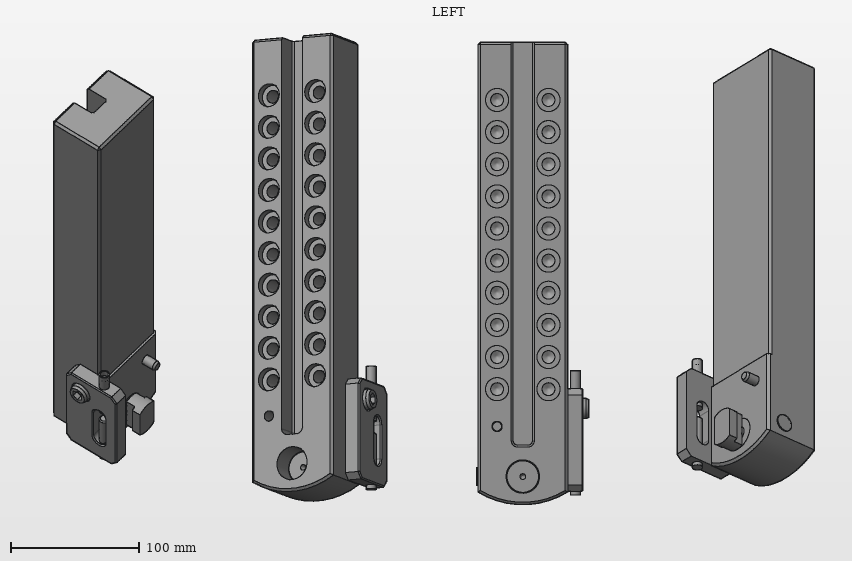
import cadquery as cq
import math


BAR_WIDTH = 70
BAR_LENGTH = 360
BAR_THICKNESS = 49
RELIEF_DEPTH = 2
RELIEF_START_Z = 80
ROUND_END_RISE = 10
BAR_CHAMFER = 2
GROOVE_WIDTH = 18
GROOVE_DEPTH = 20
GROOVE_END_Z = 45
GROOVE_CORNER_RADIUS = 5
GROOVE_FLOOR_CHAMFER = 1.5

COLUMN_OFFSET_Y = 20
HOLE_COUNT = 10
HOLE_PITCH = 25
FIRST_HOLE_Z = 90
COUNTERBORE_DIAMETER = 18
COUNTERBORE_DEPTH = 7
HOLE_DIAMETER = 10
HOLE_DEPTH = 25
DRILL_POINT_ANGLE = 118

PIVOT_Z = 22
PIVOT_SHAFT_DIAMETER = 26
PIVOT_SHAFT_START_X = 20
PIVOT_SHAFT_CHAMFER = 0.7
PIVOT_CENTRE_DIAMETER = 4.5
PIVOT_CENTRE_ANGLE = 60
PIVOT_NECK_DIAMETER = 12
KEY_DIAMETER = 30
KEY_START_X = 51
KEY_HEAD_START_X = 59
KEY_END_X = 66.5
KEY_STEM_WIDTH = 12
KEY_HEAD_WIDTH = 18

PLUG_X = 33
PLUG_DIAMETER = 14
PLUG_PROJECTION = 1

LOCATING_PIN_Z = 61
LOCATING_PIN_DIAMETER = 8
LOCATING_PIN_START_X = 20
LOCATING_PIN_END_X = 61
LOCATING_PIN_CHAMFER_LENGTH = 2
LOCATING_PIN_CHAMFER_WIDTH = 1
LOCATING_PIN_INNER_CHAMFER = 0.5

PLATE_START_X = 23
PLATE_START_Z = 10.5
PLATE_WIDTH = 50
PLATE_HEIGHT = 80
PLATE_THICKNESS = 12
PLATE_CORNER_CHAMFER = 5
PLATE_EDGE_CHAMFER = 1
SLOT_X = 56
SLOT_Z = 45.5
SLOT_WIDTH = 12
SLOT_LENGTH = 39
SLOT_CHAMFER = 1

SCREW_X = 38
SCREW_Z = 75
SCREW_COUNTERBORE_DIAMETER = 18
SCREW_SEAT_DEPTH = 6
SCREW_HEAD_DIAMETER = 16
SCREW_HEAD_PROJECTION = 4.5
SCREW_CHAMFER_LENGTH = 2.3
SCREW_CHAMFER_WIDTH = 1
SCREW_SHANK_DIAMETER = 10
SCREW_REACH = 15
SCREW_SOCKET_WIDTH = 8
SCREW_SOCKET_DEPTH = 5

STOP_X = 56.5
STOP_DIAMETER = 8
STOP_SCREW_TOP_Z = 104.5
STOP_SCREW_BOTTOM_Z = 61.5
STOP_SOCKET_DIAMETER = 6
STOP_SOCKET_DEPTH = 5
STOP_PIN_TOP_Z = 52
STOP_PIN_BOTTOM_Z = 7.5
STOP_PIN_CHAMFER = 1

HALF_WIDTH = BAR_WIDTH / 2
PLATE_MIDDLE_Y = -HALF_WIDTH - PLATE_THICKNESS / 2
PLATE_OUTER_Y = -HALF_WIDTH - PLATE_THICKNESS


def rod_x(diameter, start_x, end_x, y, z):
    plane = cq.Workplane("YZ", origin=(start_x, y, z))
    return plane.circle(diameter / 2).extrude(end_x - start_x)


def rod_y(diameter, start_y, end_y, x, z):
    plane = cq.Workplane("XZ", origin=(x, start_y, z))
    return plane.circle(diameter / 2).extrude(start_y - end_y)


def rod_z(diameter, start_z, end_z, x, y):
    plane = cq.Workplane("XY", origin=(x, y, start_z))
    return plane.circle(diameter / 2).extrude(end_z - start_z)


def point_length(diameter, angle):
    return diameter / 2 / math.tan(math.radians(angle / 2))


def make_point(diameter, angle, base, direction):
    """A cone that starts at its base circle and narrows to a point along the direction."""
    length = point_length(diameter, angle)
    return cq.Workplane(cq.Solid.makeCone(diameter / 2, 0, length, cq.Vector(base), cq.Vector(direction)))


def make_groove():
    """Open at the top of the bar; the floor chamfer follows the side walls and the rounded lower end."""
    return (
        cq.Workplane("XY", origin=(0, 0, GROOVE_END_Z))
        .box(GROOVE_DEPTH, GROOVE_WIDTH, BAR_LENGTH - GROOVE_END_Z, centered=(False, True, False))
        .edges("|X and <Z")
        .fillet(GROOVE_CORNER_RADIUS)
        .faces(">X")
        .edges("not >Z")
        .chamfer(GROOVE_FLOOR_CHAMFER)
    )


def make_counterbored_hole():
    radius = HOLE_DIAMETER / 2
    tip_x = HOLE_DEPTH + point_length(HOLE_DIAMETER, DRILL_POINT_ANGLE)
    return (
        cq.Workplane("XY")
        .moveTo(0, 0)
        .lineTo(0, COUNTERBORE_DIAMETER / 2)
        .lineTo(COUNTERBORE_DEPTH, COUNTERBORE_DIAMETER / 2)
        .lineTo(COUNTERBORE_DEPTH, radius)
        .lineTo(HOLE_DEPTH, radius)
        .lineTo(tip_x, 0)
        .close()
        .revolve(360, (0, 0, 0), (1, 0, 0))
    )


def make_bar_blank(thickness):
    return (
        cq.Workplane("YZ")
        .moveTo(-HALF_WIDTH, BAR_LENGTH)
        .lineTo(-HALF_WIDTH, ROUND_END_RISE)
        .threePointArc((0, 0), (HALF_WIDTH, ROUND_END_RISE))
        .lineTo(HALF_WIDTH, BAR_LENGTH)
        .close()
        .extrude(thickness)
        .edges("<X or >X or (>Z and |X)")
        .chamfer(BAR_CHAMFER)
    )


def make_bar():
    lower_end = cq.Workplane("XY").box(
        BAR_THICKNESS, BAR_WIDTH, RELIEF_START_Z, centered=(False, True, False)
    )
    bar = make_bar_blank(BAR_THICKNESS).intersect(lower_end)
    bar = bar.union(make_bar_blank(BAR_THICKNESS - RELIEF_DEPTH))
    bar = bar.cut(make_groove())
    hole = make_counterbored_hole()
    for side in (-1, 1):
        for index in range(HOLE_COUNT):
            place = (0, side * COLUMN_OFFSET_Y, FIRST_HOLE_Z + index * HOLE_PITCH)
            bar = bar.cut(hole.translate(place))
    bar = bar.cut(rod_x(PIVOT_SHAFT_DIAMETER, 0, BAR_THICKNESS, 0, PIVOT_Z))
    bar = bar.cut(rod_x(LOCATING_PIN_DIAMETER, 0, BAR_THICKNESS, COLUMN_OFFSET_Y, LOCATING_PIN_Z))
    return bar.cut(make_plug()).cut(make_screw())


def make_key(width, start_x, end_x):
    flats = cq.Workplane("XY", origin=(start_x, 0, PIVOT_Z)).box(
        end_x - start_x, width, KEY_DIAMETER, centered=(False, True, True)
    )
    return rod_x(KEY_DIAMETER, start_x, end_x, 0, PIVOT_Z).intersect(flats)


def make_pivot():
    shaft = rod_x(PIVOT_SHAFT_DIAMETER, PIVOT_SHAFT_START_X, BAR_THICKNESS, 0, PIVOT_Z)
    shaft = shaft.faces("<X").chamfer(PIVOT_SHAFT_CHAMFER)
    neck = rod_x(PIVOT_NECK_DIAMETER, BAR_THICKNESS, KEY_START_X, 0, PIVOT_Z)
    stem = make_key(KEY_STEM_WIDTH, KEY_START_X, KEY_HEAD_START_X)
    head = make_key(KEY_HEAD_WIDTH, KEY_HEAD_START_X, KEY_END_X)
    centre_base = (PIVOT_SHAFT_START_X, 0, PIVOT_Z)
    centre = make_point(PIVOT_CENTRE_DIAMETER, PIVOT_CENTRE_ANGLE, centre_base, (1, 0, 0))
    return shaft.union(neck).union(stem).union(head).cut(centre)


def make_plug():
    """The plug reaches inwards to the tangent plane of the pivot shaft."""
    return rod_y(PLUG_DIAMETER, PIVOT_SHAFT_DIAMETER / 2, HALF_WIDTH + PLUG_PROJECTION, PLUG_X, PIVOT_Z)


def make_locating_pin():
    pin = rod_x(
        LOCATING_PIN_DIAMETER, LOCATING_PIN_START_X, LOCATING_PIN_END_X, COLUMN_OFFSET_Y, LOCATING_PIN_Z
    )
    pin = pin.faces(">X").chamfer(LOCATING_PIN_CHAMFER_LENGTH, LOCATING_PIN_CHAMFER_WIDTH)
    return pin.faces("<X").chamfer(LOCATING_PIN_INNER_CHAMFER)


def make_plate():
    plate = (
        cq.Workplane("XY", origin=(PLATE_START_X, PLATE_OUTER_Y, PLATE_START_Z))
        .box(PLATE_WIDTH, PLATE_THICKNESS, PLATE_HEIGHT, centered=False)
        .edges("|Y")
        .chamfer(PLATE_CORNER_CHAMFER)
        .faces("<Y")
        .chamfer(PLATE_EDGE_CHAMFER)
    )
    slot = (
        cq.Workplane("XZ", origin=(SLOT_X, -HALF_WIDTH, SLOT_Z))
        .slot2D(SLOT_LENGTH, SLOT_WIDTH, 90)
        .extrude(PLATE_THICKNESS)
    )
    plate = plate.cut(slot)
    slot_mouth = (
        cq.Workplane("XZ", origin=(SLOT_X, PLATE_OUTER_Y, SLOT_Z))
        .slot2D(SLOT_LENGTH + 2 * SLOT_CHAMFER, SLOT_WIDTH + 2 * SLOT_CHAMFER, 90)
        .extrude(-SLOT_CHAMFER, taper=45)
    )
    plate = plate.cut(slot_mouth)
    stop_bore = rod_z(
        STOP_DIAMETER, PLATE_START_Z, PLATE_START_Z + PLATE_HEIGHT, STOP_X, PLATE_MIDDLE_Y
    )
    counterbore = rod_y(
        SCREW_COUNTERBORE_DIAMETER, PLATE_OUTER_Y, PLATE_OUTER_Y + SCREW_SEAT_DEPTH, SCREW_X, SCREW_Z
    )
    return plate.cut(stop_bore).cut(counterbore).cut(make_screw())


def make_screw():
    seat_y = PLATE_OUTER_Y + SCREW_SEAT_DEPTH
    top_y = PLATE_OUTER_Y - SCREW_HEAD_PROJECTION
    shank = rod_y(SCREW_SHANK_DIAMETER, seat_y, SCREW_REACH - HALF_WIDTH, SCREW_X, SCREW_Z)
    head = (
        rod_y(SCREW_HEAD_DIAMETER, seat_y, top_y, SCREW_X, SCREW_Z)
        .faces("<Y")
        .chamfer(SCREW_CHAMFER_LENGTH, SCREW_CHAMFER_WIDTH)
    )
    socket = (
        cq.Workplane("XZ", origin=(SCREW_X, top_y, SCREW_Z))
        .polygon(6, SCREW_SOCKET_WIDTH, circumscribed=True)
        .extrude(-SCREW_SOCKET_DEPTH)
    )
    socket_floor = (SCREW_X, top_y + SCREW_SOCKET_DEPTH, SCREW_Z)
    socket_point = make_point(SCREW_SOCKET_WIDTH, DRILL_POINT_ANGLE, socket_floor, (0, 1, 0))
    return shank.union(head).cut(socket).cut(socket_point)


def make_stop_screw():
    screw = rod_z(STOP_DIAMETER, STOP_SCREW_BOTTOM_Z, STOP_SCREW_TOP_Z, STOP_X, PLATE_MIDDLE_Y)
    socket_floor_z = STOP_SCREW_TOP_Z - STOP_SOCKET_DEPTH
    socket = rod_z(STOP_SOCKET_DIAMETER, socket_floor_z, STOP_SCREW_TOP_Z, STOP_X, PLATE_MIDDLE_Y)
    return screw.cut(socket)


def make_stop_pin():
    pin = rod_z(STOP_DIAMETER, STOP_PIN_BOTTOM_Z, STOP_PIN_TOP_Z, STOP_X, PLATE_MIDDLE_Y)
    return pin.faces(">Z").chamfer(STOP_PIN_CHAMFER)


bar = make_bar()
pivot = make_pivot()
plug = make_plug()
locating_pin = make_locating_pin()
plate = make_plate()
screw = make_screw()
stop_screw = make_stop_screw()
stop_pin = make_stop_pin()

result = cq.Compound.makeCompound(
    [
        bar.val(),
        pivot.val(),
        plug.val(),
        locating_pin.val(),
        plate.val(),
        screw.val(),
        stop_screw.val(),
        stop_pin.val(),
    ]
)